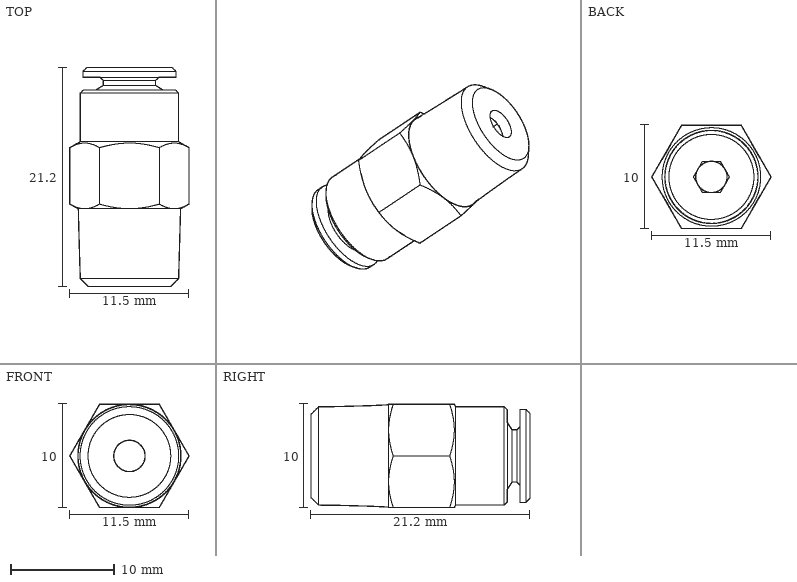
import cadquery as cq
import math

total_length = 21.2
thread_chamfer = 0.76
hex_start = 7.53
hex_end = 14.01
body_end = 19.02
body_chamfer = 0.32
neck_start = 19.46
neck_end = 19.93
cap_start = 20.22
cap_chamfer = 0.4

thread_tip_radius = 4.77
thread_root_radius = 4.96
body_radius = 4.77
collar_radius = 3.25
neck_radius = 2.55
neck_flare_radius = 2.85
cap_radius = 4.52

hex_flats = 10.0
hex_chamfer_angle = math.radians(30)
bore_diameter = 3.0
socket_depth = 1.15


def across_corners(flats):
    return flats / math.cos(math.radians(30))


def revolve_about_y(points):
    """Turn a closed (radius, y) outline around the Y axis."""
    return cq.Workplane("XY").polyline(points).close().revolve(360, (0, 0, 0), (0, 1, 0))


def hex_bar(flats, start, end):
    """Hexagonal bar along Y with corners on the X axis."""
    plane = cq.Plane(origin=(0, start, 0), xDir=(1, 0, 0), normal=(0, 1, 0))
    return cq.Workplane(plane).polygon(6, across_corners(flats)).extrude(end - start)


def turned_body():
    return revolve_about_y([
        (0, 0),
        (thread_tip_radius - thread_chamfer, 0),
        (thread_tip_radius, thread_chamfer),
        (thread_root_radius, hex_start),
        (body_radius, hex_end),
        (body_radius, body_end - body_chamfer),
        (body_radius - body_chamfer, body_end),
        (collar_radius, body_end),
        (neck_radius, neck_start),
        (neck_radius, neck_end),
        (neck_flare_radius, cap_start),
        (cap_radius, cap_start),
        (cap_radius, total_length - cap_chamfer),
        (cap_radius - cap_chamfer, total_length),
        (0, total_length),
    ])


def chamfered_hex():
    """Wrench hexagon whose corners are trimmed by a cone at each end."""
    corner_radius = across_corners(hex_flats) / 2
    start_radius = hex_flats / 2
    start_drop = (corner_radius - start_radius) * math.tan(hex_chamfer_angle)
    end_drop = (corner_radius - body_radius) * math.tan(hex_chamfer_angle)
    envelope = revolve_about_y([
        (0, hex_start),
        (start_radius, hex_start),
        (corner_radius, hex_start + start_drop),
        (corner_radius, hex_end - end_drop),
        (body_radius, hex_end),
        (0, hex_end),
    ])
    return hex_bar(hex_flats, hex_start, hex_end).intersect(envelope)


def passage():
    """Round bore at the threaded end opening into a hexagonal socket."""
    bore_plane = cq.Plane(origin=(0, 0, 0), xDir=(1, 0, 0), normal=(0, 1, 0))
    bore = cq.Workplane(bore_plane).circle(bore_diameter / 2).extrude(socket_depth)
    return bore.union(hex_bar(bore_diameter, socket_depth, total_length))


result = turned_body().union(chamfered_hex()).cut(passage())